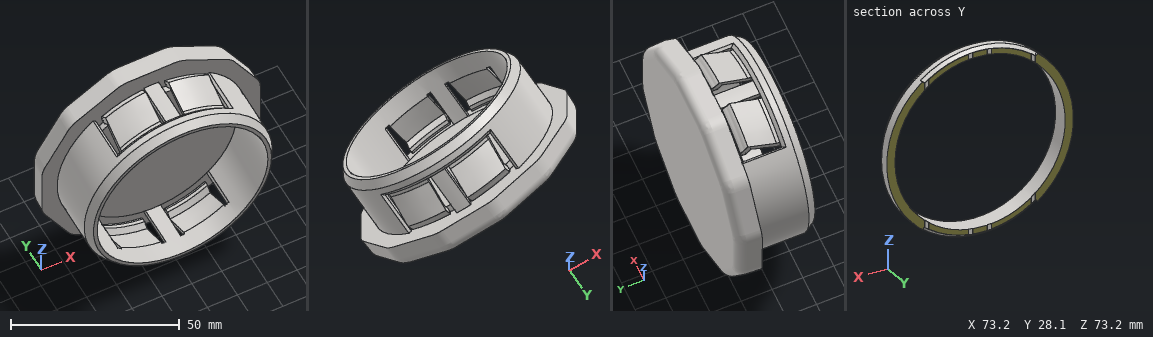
import cadquery as cq
import math


flange_sides = 12
flange_width = 73.15
flange_height = 8.0
flange_draft = 3.0
flange_corner_radius = 8.05
flange_rim_radius = 3.3

barrel_length = 20.05
barrel_radius = 63.0 / 2
bore_radius = 57.1 / 2
tip_chamfer_length = 2.7
tip_chamfer_depth = 1.7

boss_radius = 54.65 / 2
boss_height = 2.05

window_edge_y = -14.1
window_outer_x = 18.6
post_half_width = 2.5

recess_depth = 1.0
recess_floor_radius = barrel_radius - recess_depth
bevel_width = 0.9
bevel_length = 1.1

finger_gap = 1.3
end_inner_radius = 31.1
end_outer_radius = 32.05
foot_radius = 30.9
foot_start_y = -2.0
foot_end_y = -3.15
bend_y = -4.75
bend_radius = 32.3
peak_y = -3.8
peak_radius = 34.0
outer_root_y = -13.0
inner_root_y = -13.6
catch_facets = 4
catch_ripple = 0.1

clear = barrel_radius + 7.3


def height_on_circle(radius, x):
    return math.sqrt(radius**2 - x**2)


def revolve_about_axis(points):
    return cq.Workplane("XY").polyline(points).close().revolve(360, (0, 0, 0), (0, 1, 0))


def slab(x_min, x_max, y_min, y_max):
    """Block that reaches through the barrel along Z."""
    return cq.Workplane("XY").box(x_max - x_min, y_max - y_min, 2 * clear).translate(
        ((x_min + x_max) / 2, (y_min + y_max) / 2, 0)
    )


def make_flange():
    corner_radius = flange_width / 2 / math.cos(math.pi / flange_sides)
    corner_angles = [2 * math.pi * (i + 0.5) / flange_sides for i in range(flange_sides)]
    corners = [(corner_radius * math.cos(a), corner_radius * math.sin(a)) for a in corner_angles]
    prism = cq.Workplane("XZ").polyline(corners).close().extrude(-flange_height, taper=flange_draft)
    rounded = prism.edges("not #Y").fillet(flange_corner_radius)
    return rounded.faces(">Y").edges().fillet(flange_rim_radius)


def make_barrel():
    tip_y = -barrel_length
    return revolve_about_axis([
        (bore_radius, 0),
        (barrel_radius, 0),
        (barrel_radius, tip_y + tip_chamfer_length),
        (barrel_radius - tip_chamfer_depth, tip_y),
        (bore_radius, tip_y),
    ])


def make_recess():
    """Both recesses: a ring above the recess floor, kept only between the side bevels."""
    overshoot = 2.0
    ring = revolve_about_axis([
        (recess_floor_radius, 0),
        (recess_floor_radius, window_edge_y),
        (barrel_radius + overshoot * recess_depth, window_edge_y - (1 + overshoot) * bevel_length),
        (barrel_radius + overshoot * recess_depth, 0),
    ])
    top_x = window_outer_x + bevel_width
    floor_z = height_on_circle(recess_floor_radius, window_outer_x)
    bevel_rise = height_on_circle(barrel_radius, top_x) - floor_z
    far_x = window_outer_x + (1 + overshoot) * bevel_width
    far_z = floor_z + (1 + overshoot) * bevel_rise
    side = [(window_outer_x, 0), (window_outer_x, floor_z), (far_x, far_z), (far_x, clear)]
    quarter = [(0, 0)] + side + [(0, clear)]
    sector = cq.Workplane("XZ").polyline(quarter).close().extrude(barrel_length)
    sector = sector.union(sector.mirror("YZ"))
    sector = sector.union(sector.mirror("XY"))
    return ring.intersect(sector)


def make_windows():
    window = slab(post_half_width, window_outer_x, window_edge_y, 0)
    return window.union(window.mirror("YZ"))


def make_boss():
    return cq.Workplane("XZ").circle(boss_radius).extrude(boss_height)


def make_fingers():
    end_y = -finger_gap
    catch = []
    for i in range(catch_facets + 1):
        t = i / catch_facets
        radius = end_outer_radius + t * (peak_radius - end_outer_radius) + catch_ripple * (i % 2)
        catch.append((radius, end_y + t * (peak_y - end_y)))
    ring = revolve_about_axis(catch + [
        (recess_floor_radius, outer_root_y),
        (recess_floor_radius, window_edge_y),
        (bore_radius, window_edge_y),
        (bore_radius, inner_root_y),
        (bend_radius, bend_y),
        (foot_radius, foot_end_y),
        (foot_radius, foot_start_y),
        (end_inner_radius, end_y),
    ])
    strip = slab(post_half_width + finger_gap, window_outer_x - finger_gap, window_edge_y, 0)
    return ring.intersect(strip.union(strip.mirror("YZ")))


barrel = make_barrel().cut(make_recess()).cut(make_windows())
result = make_flange().union(barrel).union(make_boss()).union(make_fingers())